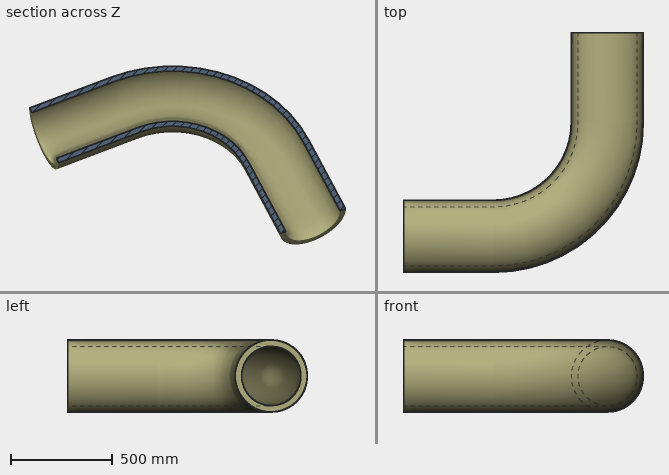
import cadquery as cq

overall_length = 1178.0
outer_diameter = 355.0
inner_diameter = 291.0
straight_length = 442.0

bend_radius = overall_length - straight_length - outer_diameter / 2
bend_angle = 90.0


def straight_pipe(open_end_plane):
    """Straight tube that starts at its open end and runs along the plane normal."""
    return (
        cq.Workplane(open_end_plane)
        .circle(outer_diameter / 2)
        .circle(inner_diameter / 2)
        .extrude(straight_length)
    )


def pipe_bend():
    """Quarter-turn tube from the X leg, curving toward +Y."""
    start_plane = cq.Plane(origin=(straight_length, 0, 0), xDir=(0, 1, 0), normal=(1, 0, 0))
    return (
        cq.Workplane(start_plane)
        .circle(outer_diameter / 2)
        .circle(inner_diameter / 2)
        .revolve(bend_angle, (bend_radius, 0, 0), (bend_radius, 1, 0))
    )


x_leg_end = cq.Plane(origin=(0, 0, 0), xDir=(0, 1, 0), normal=(1, 0, 0))
centreline_reach = straight_length + bend_radius
y_leg_end = cq.Plane(
    origin=(centreline_reach, centreline_reach, 0), xDir=(1, 0, 0), normal=(0, -1, 0)
)

result = straight_pipe(x_leg_end).union(pipe_bend()).union(straight_pipe(y_leg_end))